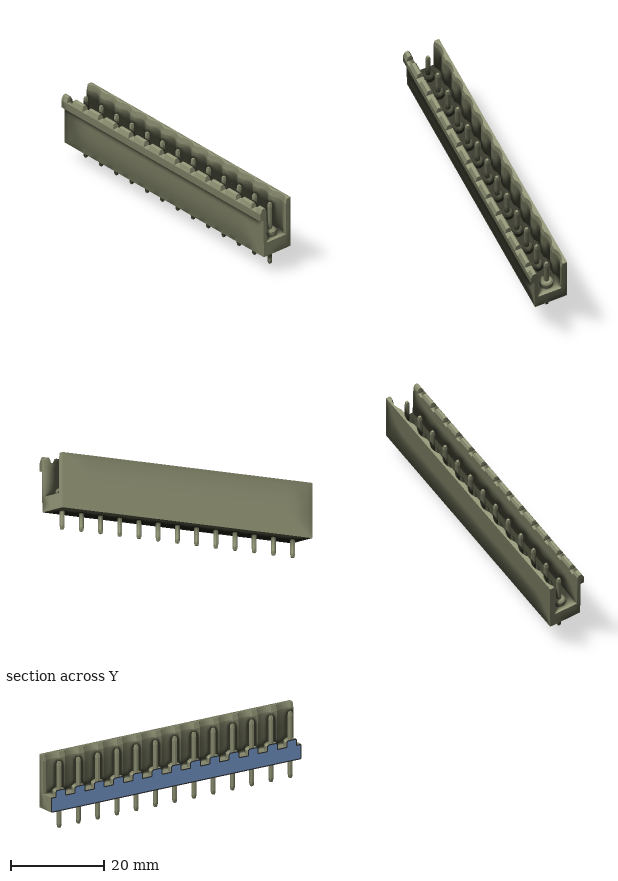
import cadquery as cq


LENGTH = 65.0
HEIGHT = 12.0
PIN_COUNT = 13
PITCH = LENGTH / PIN_COUNT
FLOOR_Z = 3.3
BACK_Y = 3.8
TOTAL_DEPTH = 8.6
LIP_Y = BACK_Y - TOTAL_DEPTH

BACK_WALL = 1.35
BACK_TAPER_DEPTH = 0.3
BACK_TAPER_HEIGHT = 1.3
BACK_INNER_Y = BACK_Y - BACK_WALL
RECESS_DEPTH = 0.6
RECESS_WIDTH = 3.5

FRONT_INNER_FOOT_Y = -3.0
FRONT_INNER_TOP_Y = -3.2
FRONT_OUTER_FOOT_Y = -3.85
FRONT_OUTER_TOP_Y = -3.95
LIP_HEIGHT = 2.9
LEAD_IN_HEIGHT = 0.65
CREST_INNER_Y = -3.6
CREST_OUTER_Y = -3.95
BEVEL_Y = -4.3
BEVEL_DROP = 0.1
LIP_BEVEL_HEIGHT = 1.2

NOTCH_TOP_WIDTH = 1.9
NOTCH_FLOOR_WIDTH = 1.4
NOTCH_FLOOR_Z = HEIGHT - LIP_BEVEL_HEIGHT

PIN_WIDTH = 1.0
PIN_EDGE_CHAMFER = 0.25
PIN_TIP_WIDTH = 0.5
PIN_TIP_LENGTH = 0.9
PIN_TOP_Z = 10.9
PIN_BOTTOM_Z = -3.95
COLLAR_DIAMETER = 2.85
COLLAR_TOP_Z = 4.75
COLLAR_CHAMFER = 0.3


def housing():
    """U-shaped channel with the latch lip along the front wall."""
    section = [
        (BACK_Y, 0),
        (BACK_Y, HEIGHT),
        (BACK_INNER_Y + BACK_TAPER_DEPTH, HEIGHT),
        (BACK_INNER_Y, HEIGHT - BACK_TAPER_HEIGHT),
        (BACK_INNER_Y, FLOOR_Z),
        (FRONT_INNER_FOOT_Y, FLOOR_Z),
        (FRONT_INNER_TOP_Y, HEIGHT - LEAD_IN_HEIGHT),
        (CREST_INNER_Y, HEIGHT),
        (CREST_OUTER_Y, HEIGHT),
        (BEVEL_Y, HEIGHT - BEVEL_DROP),
        (LIP_Y, HEIGHT - LIP_BEVEL_HEIGHT),
        (LIP_Y, HEIGHT - LIP_HEIGHT),
        (FRONT_OUTER_TOP_Y, HEIGHT - LIP_HEIGHT),
        (FRONT_OUTER_FOOT_Y, 0),
    ]
    return cq.Workplane("YZ").polyline(section).close().extrude(LENGTH / 2, both=True)


def recess():
    """Round recess in the back wall that flares out along the wall's top slope."""
    radius = (RECESS_WIDTH**2 / 4 + RECESS_DEPTH**2) / (2 * RECESS_DEPTH)
    axis_y = BACK_INNER_Y + RECESS_DEPTH - radius
    flare_z = HEIGHT - BACK_TAPER_HEIGHT
    half_section = [
        (0, FLOOR_Z),
        (radius, FLOOR_Z),
        (radius, flare_z),
        (radius + BACK_TAPER_DEPTH, HEIGHT),
        (0, HEIGHT),
    ]
    cutter = cq.Workplane("XZ").polyline(half_section).close().revolve(360, (0, 0), (0, 1))
    back_half = cq.Workplane("XY").box(PITCH, BACK_Y, HEIGHT, centered=(True, False, False))
    return cutter.translate((0, axis_y, 0)).intersect(back_half)


def notch():
    """Tapered notch across the top of the front wall."""
    half_floor = NOTCH_FLOOR_WIDTH / 2
    half_top = NOTCH_TOP_WIDTH / 2
    outline = [
        (-half_floor, NOTCH_FLOOR_Z),
        (half_floor, NOTCH_FLOOR_Z),
        (half_top, HEIGHT),
        (-half_top, HEIGHT),
    ]
    return cq.Workplane("XZ").polyline(outline).close().extrude(-LIP_Y)


def pin_tip(base_z, end_z):
    """Square tip that tapers from the full pin width at base_z to its end at end_z."""
    return (
        cq.Workplane("XY", origin=(0, 0, base_z))
        .rect(PIN_WIDTH, PIN_WIDTH)
        .workplane(offset=end_z - base_z)
        .rect(PIN_TIP_WIDTH, PIN_TIP_WIDTH)
        .loft(ruled=True)
    )


def pin():
    """Square pin with chamfered long edges and tapered ends, in a chamfered round collar."""
    shaft_top = PIN_TOP_Z - PIN_TIP_LENGTH
    shaft_bottom = PIN_BOTTOM_Z + PIN_TIP_LENGTH
    bar = (
        cq.Workplane("XY", origin=(0, 0, PIN_BOTTOM_Z))
        .rect(PIN_WIDTH, PIN_WIDTH)
        .extrude(PIN_TOP_Z - PIN_BOTTOM_Z)
        .edges("|Z")
        .chamfer(PIN_EDGE_CHAMFER)
    )
    envelope = (
        cq.Workplane("XY", origin=(0, 0, shaft_bottom))
        .rect(PIN_WIDTH, PIN_WIDTH)
        .extrude(shaft_top - shaft_bottom)
        .union(pin_tip(shaft_top, PIN_TOP_Z))
        .union(pin_tip(shaft_bottom, PIN_BOTTOM_Z))
    )
    collar = (
        cq.Workplane("XY")
        .circle(COLLAR_DIAMETER / 2)
        .extrude(COLLAR_TOP_Z)
        .faces(">Z")
        .chamfer(COLLAR_CHAMFER)
    )
    return bar.intersect(envelope).union(collar)


def at_every_pin(shape):
    """Copies of shape at each pin position along X."""
    row = cq.Workplane("XY")
    for index in range(PIN_COUNT):
        x = (index - (PIN_COUNT - 1) / 2) * PITCH
        row.add(shape.translate((x, 0, 0)))
    return row.combine()


result = (
    housing()
    .cut(at_every_pin(recess()))
    .cut(at_every_pin(notch()))
    .union(at_every_pin(pin()))
)